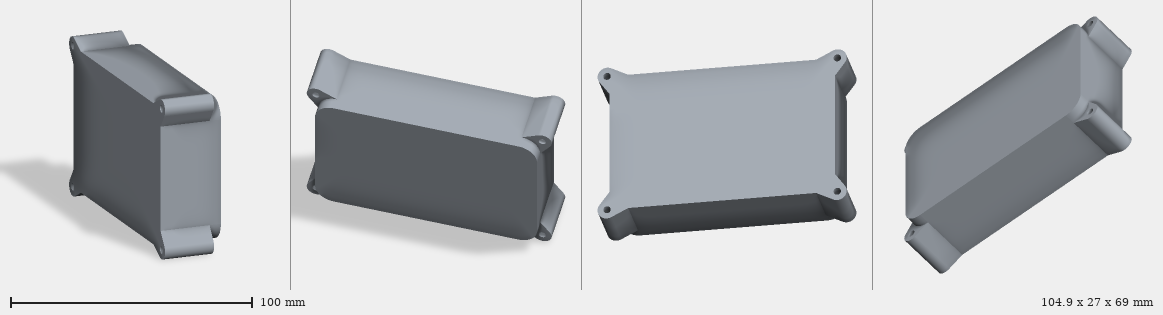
import cadquery as cq
import math

length = 104.9
height = 69.0
depth = 27.0
lug_depth = 21.9
lug_radius = 4.0
hole_diameter = 3.1

body_length = 95.0
body_height = height - 2 * lug_radius
corner_radius = 8.0

hole_x = length / 2 - lug_radius
hole_z = height / 2 - lug_radius


def tangent_point(center, outside, radius, side):
    """Point where a line from `outside` touches a circle; `side` (+1 or -1) picks which one."""
    dx = outside[0] - center[0]
    dz = outside[1] - center[1]
    angle = math.atan2(dz, dx) + side * math.acos(radius / math.hypot(dx, dz))
    return (center[0] + radius * math.cos(angle), center[1] + radius * math.sin(angle))


def extrude_back(sketch, distance):
    """Extrude an XZ sketch from the front face toward +Y."""
    return sketch.extrude(-distance)


def make_body():
    block = extrude_back(cq.Workplane("XZ").rect(body_length, body_height), depth)
    return block.edges("|Y").fillet(corner_radius)


def make_lug():
    """Upper right lug, whose flanks start where the body corner rounding starts."""
    center = (hole_x, hole_z)
    top_root = (body_length / 2 - corner_radius, body_height / 2)
    side_root = (body_length / 2, body_height / 2 - corner_radius)
    inner_corner = (top_root[0], side_root[1])
    top_touch = tangent_point(center, top_root, lug_radius, -1)
    side_touch = tangent_point(center, side_root, lug_radius, 1)
    tip_offset = lug_radius / math.sqrt(2)
    tip = (hole_x + tip_offset, hole_z + tip_offset)
    outline = (
        cq.Workplane("XZ")
        .moveTo(*inner_corner)
        .lineTo(*top_root)
        .lineTo(*top_touch)
        .threePointArc(tip, side_touch)
        .lineTo(*side_root)
        .close()
    )
    return extrude_back(outline, lug_depth)


def make_holes():
    centers = cq.Workplane("XZ").rect(2 * hole_x, 2 * hole_z, forConstruction=True).vertices()
    return extrude_back(centers.circle(hole_diameter / 2), lug_depth)


right_lugs = make_lug().union(make_lug().mirror("XY"))
lugs = right_lugs.union(right_lugs.mirror("YZ"))

result = make_body().union(lugs).cut(make_holes())